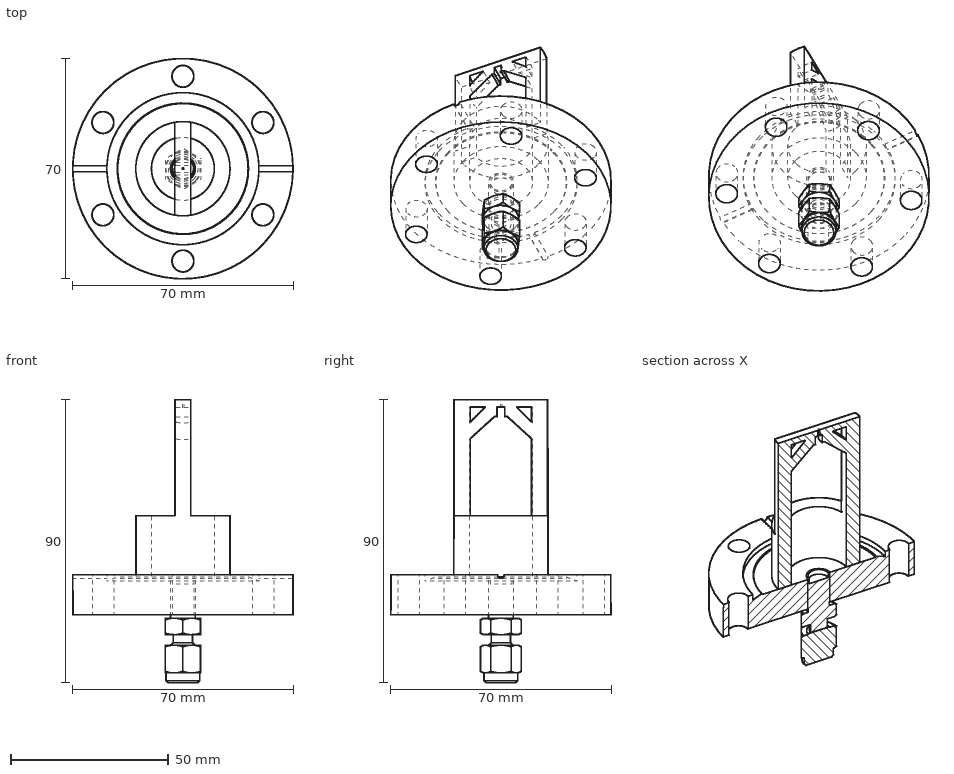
import cadquery as cq
import math


FLANGE_DIAMETER = 70.0
FLANGE_THICKNESS = 12.8
BOLT_HOLE_DIAMETER = 6.8
BOLT_CIRCLE_RADIUS = 29.3
BOLT_COUNT = 6
RECESS_DIAMETER = 48.3
KNIFE_EDGE_DIAMETER = 41.8
SEAL_FLOOR_DIAMETER = 41.4
RECESS_DEPTH = 2.0
KNIFE_EDGE_DEPTH = 0.7
SEAL_FLOOR_DEPTH = 1.1
LEAK_GROOVE_WIDTH = 2.0
LEAK_GROOVE_DEPTH = 1.2

TUBE_DIAMETER = 30.0
TUBE_BORE = 20.0
TUBE_HEIGHT = 18.7
FRAME_TOP = 55.6
FRAME_WIDTH = 5.0
TOP_BAR_THICKNESS = 2.4
STRUT_TOP_HALF_WIDTH = 2.6
STRUT_OUTER_DROP = TUBE_DIAMETER / 2 - STRUT_TOP_HALF_WIDTH
STRUT_INNER_DROP = 12.7
STRUT_TIP_DROP = 5.4
STRUT_TIP_OFFSET = 2.0
STRUT_GAP = 2.3
PINHOLE_DIAMETER = 0.5

HEX_ACROSS_FLATS = 11.25
HEX_CHAMFER_ANGLE = 30
STUB_DIAMETER = 7.9
STUB_LENGTH = 1.1
SOCKET_DIAMETER = 6.8
SOCKET_DEPTH = 1.8
FITTING_HEX_LENGTH = 5.2
NECK_DIAMETER = 6.2
NECK_LENGTH = 2.6
FLARE_DIAMETER = 7.8
FLARE_LENGTH = 0.7
COLLAR_DIAMETER = 10.8
COLLAR_LENGTH = 3.15
COLLAR_CHAMFER = 0.7
OVERALL_HEIGHT = 90
NUT_TOP = -FLANGE_THICKNESS - STUB_LENGTH - FITTING_HEX_LENGTH - NECK_LENGTH - FLARE_LENGTH
NUT_BOTTOM = FRAME_TOP - OVERALL_HEIGHT
NUT_HEX_LENGTH = NUT_TOP - NUT_BOTTOM - COLLAR_LENGTH


def cylinder(diameter, bottom, height):
    return cq.Workplane("XY").workplane(offset=bottom).circle(diameter / 2).extrude(height)


def revolved(profile):
    """Revolve an (r, z) outline about the Z axis."""
    return cq.Workplane("XZ").polyline(profile).close().revolve(360, (0, 0), (0, 1))


def make_flange():
    flange = revolved([
        (0, -FLANGE_THICKNESS),
        (FLANGE_DIAMETER / 2, -FLANGE_THICKNESS),
        (FLANGE_DIAMETER / 2, 0),
        (RECESS_DIAMETER / 2, 0),
        (RECESS_DIAMETER / 2, -RECESS_DEPTH),
        (KNIFE_EDGE_DIAMETER / 2, -KNIFE_EDGE_DEPTH),
        (SEAL_FLOOR_DIAMETER / 2, -SEAL_FLOOR_DEPTH),
        (0, -SEAL_FLOOR_DEPTH),
    ])
    bolt_holes = (
        cq.Workplane("XY")
        .polarArray(BOLT_CIRCLE_RADIUS, 90, 360, BOLT_COUNT)
        .circle(BOLT_HOLE_DIAMETER / 2)
        .extrude(-FLANGE_THICKNESS)
    )
    half_width = LEAK_GROOVE_WIDTH / 2
    wall_depth = LEAK_GROOVE_DEPTH - half_width
    grooves = (
        cq.Workplane("YZ")
        .moveTo(-half_width, 0)
        .lineTo(-half_width, -wall_depth)
        .threePointArc((0, -LEAK_GROOVE_DEPTH), (half_width, -wall_depth))
        .lineTo(half_width, 0)
        .close()
        .extrude(FLANGE_DIAMETER / 2, both=True)
        .cut(cylinder(RECESS_DIAMETER, -LEAK_GROOVE_DEPTH, LEAK_GROOVE_DEPTH))
    )
    fitting_hole = cylinder(STUB_DIAMETER, -FLANGE_THICKNESS, FLANGE_THICKNESS)
    return flange.cut(bolt_holes).cut(grooves).cut(fitting_hole)


def make_strut(side):
    """One sloping strut beneath the top bar; side is +1 or -1 along Y."""
    half_gap = STRUT_GAP / 2
    outer = TUBE_DIAMETER / 2
    inner = TUBE_BORE / 2
    outline = [
        (half_gap, FRAME_TOP),
        (STRUT_TOP_HALF_WIDTH, FRAME_TOP),
        (outer, FRAME_TOP - STRUT_OUTER_DROP),
        (inner, FRAME_TOP - STRUT_INNER_DROP),
        (STRUT_TIP_OFFSET, FRAME_TOP - STRUT_TIP_DROP),
        (half_gap, FRAME_TOP - STRUT_TIP_DROP),
    ]
    return (
        cq.Workplane("YZ")
        .polyline([(side * y, z) for y, z in outline])
        .close()
        .extrude(FRAME_WIDTH / 2, both=True)
    )


def make_tube_frame():
    floor = -SEAL_FLOOR_DEPTH
    bore_top = FRAME_TOP - TOP_BAR_THICKNESS
    body = cylinder(TUBE_DIAMETER, floor, FRAME_TOP - floor)
    body = body.cut(cylinder(TUBE_BORE, floor, bore_top - floor))
    for side in (1, -1):
        body = body.union(make_strut(side).intersect(cylinder(TUBE_DIAMETER, 0, FRAME_TOP)))
    strip_height = FRAME_TOP - TUBE_HEIGHT
    strip = (
        cq.Workplane("XY")
        .workplane(offset=TUBE_HEIGHT)
        .rect(FRAME_WIDTH, TUBE_DIAMETER)
        .extrude(strip_height)
    )
    surplus = cylinder(TUBE_DIAMETER, TUBE_HEIGHT, strip_height).cut(strip)
    pinhole = cylinder(PINHOLE_DIAMETER, bore_top, TOP_BAR_THICKNESS)
    return body.cut(surplus).cut(pinhole)


def chamfered_hexagon(bottom, length):
    """Hexagon with flats facing +X and -X and its corners turned off at both ends."""
    corner_diameter = HEX_ACROSS_FLATS / math.cos(math.pi / 6)
    corner_radius = corner_diameter / 2
    flat_radius = HEX_ACROSS_FLATS / 2
    drop = (corner_radius - flat_radius) * math.tan(math.radians(HEX_CHAMFER_ANGLE))
    top = bottom + length
    turned_blank = revolved([
        (0, bottom),
        (flat_radius, bottom),
        (corner_radius, bottom + drop),
        (corner_radius, top - drop),
        (flat_radius, top),
        (0, top),
    ])
    prism = (
        cq.Workplane("XY")
        .workplane(offset=bottom)
        .polygon(6, corner_diameter)
        .extrude(length)
        .rotate((0, 0, 0), (0, 0, 1), 90)
    )
    return prism.intersect(turned_blank)


def make_fitting():
    stub_bottom = -FLANGE_THICKNESS - STUB_LENGTH
    stub_top = -SEAL_FLOOR_DEPTH
    hex_bottom = stub_bottom - FITTING_HEX_LENGTH
    flare_top = NUT_TOP + FLARE_LENGTH
    flare = revolved([
        (0, NUT_TOP),
        (FLARE_DIAMETER / 2, NUT_TOP),
        (NECK_DIAMETER / 2, flare_top),
        (0, flare_top),
    ])
    return (
        chamfered_hexagon(hex_bottom, FITTING_HEX_LENGTH)
        .union(cylinder(STUB_DIAMETER, stub_bottom, stub_top - stub_bottom))
        .union(cylinder(NECK_DIAMETER, flare_top, NECK_LENGTH))
        .union(flare)
        .cut(cylinder(SOCKET_DIAMETER, stub_top - SOCKET_DEPTH, SOCKET_DEPTH))
    )


def make_nut():
    collar = cylinder(COLLAR_DIAMETER, NUT_BOTTOM, COLLAR_LENGTH).faces("<Z").chamfer(COLLAR_CHAMFER)
    return chamfered_hexagon(NUT_BOTTOM + COLLAR_LENGTH, NUT_HEX_LENGTH).union(collar)


flange = make_flange()
tube_frame = make_tube_frame()
fitting = make_fitting()
nut = make_nut()

result = cq.Compound.makeCompound([flange.val(), tube_frame.val(), fitting.val(), nut.val()])